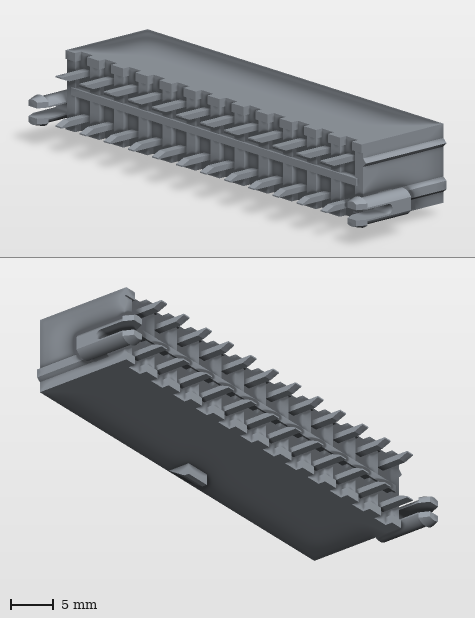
import cadquery as cq

columns = 12
pitch = 4.2
column_xs = [(i - (columns - 1) / 2) * pitch for i in range(columns)]

end_wall_extra = 0.6
body_length = columns * pitch + 2 * end_wall_extra
body_depth = 12.8
body_height = 9.6
half_length = body_length / 2
mid_height = body_height / 2

cell_depth = 0.95
cell_width = 2.6
notch_width = 2.1
lip_height = 1.05
post_setback = 0.25
web_height = 0.9
web_overhang = 1.75
web_length = (columns - 1) * pitch + 2 * web_overhang

pin_width = 1.07
pin_thickness = 0.67
pin_reach = 3.5
pin_embed = 1.0
pin_taper_length = 1.2
pin_tip_thickness = 0.17
upper_pin_top = body_height - 1.95
lower_pin_bottom = 1.48

peg_span = 58.38
peg_width = 2.76
peg_x = (peg_span - peg_width) / 2
peg_z = 2.27
peg_radius = 1.6
peg_back = 4.7
peg_tip = -3.32
head_length = 1.25
head_back = peg_tip + head_length
head_radius = 1.87
head_tip_radius = 1.52
head_width = 2.68
head_tip_width = 1.5
slot_height = 1.25
slot_bottom = 1.8

neck_length = 2.1
neck_height = 1.55
neck_root_height = 2.05

rail_height = 0.53
side_rail_base = 1.85
side_rail_crest = 1.05
key_rail_base = 1.05
key_rail_z = body_height - 2.25

latch_width = 3.4
latch_drop = 1.4
latch_start = 0.1
latch_slope_length = 2.3
latch_end = 3.05


def box(x_range, y_range, z_range):
    """Axis-aligned block between pairs of limits."""
    (x0, x1), (y0, y1), (z0, z1) = x_range, y_range, z_range
    return cq.Workplane("XY").box(x1 - x0, y1 - y0, z1 - z0, centered=False).translate((x0, y0, z0))


def span(center, width):
    """Limits of a stretch centred on a point."""
    return (center - width / 2, center + width / 2)


def extrude_along_y(sketch, y_start, y_end):
    """Solid from a closed XZ outline, between two Y positions."""
    return sketch.extrude(y_start - y_end).translate((0, y_start, 0))


def make_housing():
    full_height = (0, body_height)
    inner_height = (lip_height, body_height - lip_height)
    body = box(span(0, body_length), (0, body_depth), full_height)
    body = body.cut(box(span(0, body_length), (0, post_setback), inner_height))
    for x in column_xs:
        body = body.cut(box(span(x, notch_width), (0, cell_depth), full_height))
        body = body.cut(box(span(x, cell_width), (0, cell_depth), inner_height))
    return body.union(box(span(0, web_length), (0, cell_depth), span(mid_height, web_height)))


def make_pin(x, wide_z, direction):
    """Pin with its full-length face at wide_z and its tip tapered from the opposite face."""
    back = cell_depth + pin_embed
    far_z = wide_z + direction * pin_thickness
    tip_z = wide_z + direction * pin_tip_thickness
    profile = [
        (back, wide_z),
        (-pin_reach, wide_z),
        (-pin_reach, tip_z),
        (-pin_reach + pin_taper_length, far_z),
        (back, far_z),
    ]
    outline = cq.Workplane("YZ").polyline(profile).close()
    return outline.extrude(pin_width / 2, both=True).translate((x, 0, 0))


def make_peg():
    """Flat-sided split peg with an enlarged, tapered head, on the +X end."""
    center = cq.Workplane("XZ").center(peg_x, peg_z)
    shaft = extrude_along_y(center.circle(peg_radius), peg_back, head_back)
    shaft = shaft.intersect(box(span(peg_x, peg_width), (peg_tip, peg_back), span(peg_z, 2 * peg_radius)))

    head_profile = [(0, head_back), (head_radius, head_back), (head_tip_radius, peg_tip), (0, peg_tip)]
    head = cq.Workplane("XY").polyline(head_profile).close().revolve(360, (0, 0, 0), (0, 1, 0))
    head_outline = [
        (-head_width / 2, head_back),
        (head_width / 2, head_back),
        (head_tip_width / 2, peg_tip),
        (-head_tip_width / 2, peg_tip),
    ]
    head_limits = cq.Workplane("XY").polyline(head_outline).close().extrude(head_radius, both=True)
    head = head.intersect(head_limits).translate((peg_x, 0, peg_z))

    slot_round_y = slot_bottom - slot_height / 2
    slot = box(span(peg_x, peg_width), (peg_tip, slot_round_y), span(peg_z, slot_height))
    slot_round = cq.Workplane("YZ").center(slot_round_y, peg_z).circle(slot_height / 2)
    slot_round = slot_round.extrude(peg_width / 2, both=True).translate((peg_x, 0, 0))
    return shaft.union(head).cut(slot).cut(slot_round)


def make_neck():
    """Web from the +X end face to the peg, flaring towards the housing."""
    peg_side = peg_x - peg_width / 2
    upper_half = (
        cq.Workplane("XZ")
        .moveTo(half_length, 0)
        .lineTo(peg_x, 0)
        .lineTo(peg_x, neck_height / 2)
        .lineTo(peg_side, neck_height / 2)
        .tangentArcPoint((half_length, neck_root_height / 2), relative=False)
        .close()
    )
    upper = extrude_along_y(upper_half, peg_back, peg_back - neck_length)
    return upper.union(upper.mirror("XY")).translate((0, 0, peg_z))


def make_side_rail():
    """Trapezoidal rail on the +X end face, from the rear face to the peg."""
    crest_x = half_length + rail_height
    profile = [
        (half_length, peg_z - side_rail_base / 2),
        (crest_x, peg_z - side_rail_crest / 2),
        (crest_x, peg_z + side_rail_crest / 2),
        (half_length, peg_z + side_rail_base / 2),
    ]
    return extrude_along_y(cq.Workplane("XZ").polyline(profile).close(), body_depth, peg_back)


def make_key_rail():
    """Sharp-crested polarising rail near the top of the +X end face."""
    profile = [
        (half_length, key_rail_z - key_rail_base / 2),
        (half_length + rail_height, key_rail_z),
        (half_length, key_rail_z + key_rail_base / 2),
    ]
    return extrude_along_y(cq.Workplane("XZ").polyline(profile).close(), body_depth, post_setback)


def make_latch():
    """Ramped catch under the housing, rising towards the rear face."""
    slope_start = body_depth - latch_start
    profile = [
        (slope_start, 0),
        (slope_start - latch_slope_length, -latch_drop),
        (body_depth - latch_end, -latch_drop),
        (body_depth - latch_end, 0),
    ]
    return cq.Workplane("YZ").polyline(profile).close().extrude(latch_width / 2, both=True)


mount = make_side_rail().union(make_neck()).union(make_peg())

result = make_housing().union(make_latch()).union(make_key_rail())
result = result.union(mount).union(mount.mirror("YZ"))
for column_x in column_xs:
    result = result.union(make_pin(column_x, upper_pin_top, -1))
    result = result.union(make_pin(column_x, lower_pin_bottom, 1))